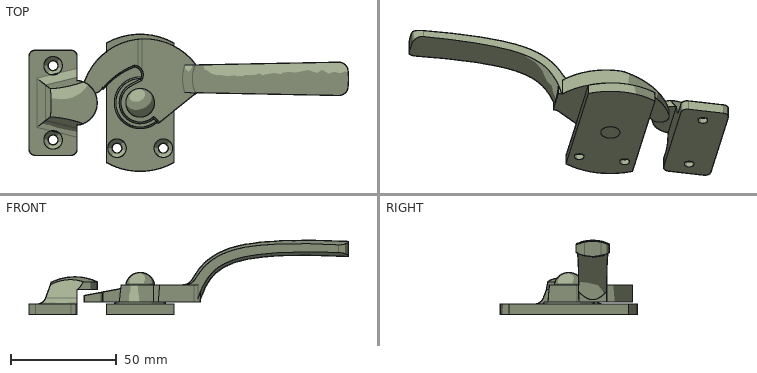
import cadquery as cq
import math


plate_thickness = 5.0
screw_hole_diameter = 4.5
countersink_diameter = 8.8
countersink_angle = 90

base_radius = 32.5
base_width = 32.0
base_hole_spacing = 21.9
base_hole_y = -21.5

washer_radius = 12.2
washer_top_radius = 11.5
washer_thickness = 0.9

pin_radius = 4.5
pin_head_radius = 6.8
pin_rim_height = 0.5
pin_dome_height = 5.5

cam_bottom = plate_thickness + washer_thickness
cam_height = 8.2
cam_top = cam_bottom + cam_height
cam_radius = 30.2
cam_center_x = 2.1
hook_tip_radius = 4.5
hook_tip_angle = 159.5
hook_slope = math.degrees(math.atan(0.19))
hook_crest_radius = 10.0
cam_corner = (9.2, -9.2)
lower_edge_slope = 0.8
neck_fillet_radius = 4.5
neck_overlap = 1.7

hub_radius = 9.0
pocket_draft = 6
hub_guard_width = 22.0
flank_angle = 27.3
flank_length = 5.5
pocket_round_middle = (1.2, 14.8)
pocket_round_end = (-2.7, 17.8)
hook_inside_middle = (-10.9, 13.6)
hook_inside_end = (-19.3, 5.3)

handle_y = 11.3
handle_root_width = 13.0
handle_root_x = 19.6
handle_end_width = 16.0
handle_end_x = 98.5
handle_end_bulge = 0.8
handle_corner_radius = 4.5
bar_margin = 1.5
handle_thickness = 7.2
handle_face_radius = 18.1
handle_path = [
    (24.5, 6.2),
    (28.0, 15.3),
    (33.4, 22.3),
    (43.3, 28.0),
    (57.1, 30.7),
    (78.4, 31.5),
    (99.7, 31.0),
]
handle_root_fillet = 5.3

keeper_left = -52.5
keeper_width = 22.8
keeper_length = 49.8
keeper_corner_radius = 3.0
keeper_hole_spacing = 35.0
keeper_right = keeper_left + keeper_width
block_left = -45.8
block_left_half_length = 9.2
block_side_slope = 0.244
block_lean = 4.7
block_fillet_radius = 4.4
nose_center_x = -31.0
nose_radius = 10.7
nose_bottom = 11.8
nose_top = 17.9
nose_dome_radius = 24.9


def drill_screw_holes(plate, positions):
    return (
        plate.copyWorkplane(cq.Workplane("XY", origin=(0, 0, plate_thickness)))
        .pushPoints(positions)
        .cskHole(screw_hole_diameter, countersink_diameter, countersink_angle)
    )


def make_base_plate():
    disc = cq.Workplane("XY").circle(base_radius).extrude(plate_thickness)
    strip = cq.Workplane("XY").rect(base_width, 2 * base_radius).extrude(plate_thickness)
    holes = [(side * base_hole_spacing / 2, base_hole_y) for side in (-1, 1)]
    plate = drill_screw_holes(disc.intersect(strip), holes)
    return plate.cut(cq.Workplane("XY").circle(pin_radius).extrude(plate_thickness))


def make_washer():
    profile = [
        (pin_radius, 0),
        (washer_radius, 0),
        (washer_top_radius, washer_thickness),
        (pin_radius, washer_thickness),
    ]
    return (
        cq.Workplane("XZ").polyline(profile).close()
        .revolve(360, (0, 0, 0), (0, 1, 0))
        .translate((0, 0, plate_thickness))
    )


def make_pin():
    rim_z = cam_top + pin_rim_height
    top_z = rim_z + pin_dome_height
    dome_radius = (pin_head_radius**2 + pin_dome_height**2) / (2 * pin_dome_height)
    half_angle = math.asin(pin_head_radius / dome_radius) / 2
    middle = (dome_radius * math.sin(half_angle), top_z - dome_radius * (1 - math.cos(half_angle)))
    return (
        cq.Workplane("XZ")
        .lineTo(pin_radius, 0)
        .lineTo(pin_radius, cam_top)
        .lineTo(pin_head_radius, cam_top)
        .lineTo(pin_head_radius, rim_z)
        .threePointArc(middle, (0, top_z))
        .close()
        .revolve(360, (0, 0, 0), (0, 1, 0))
    )


def on_circle(center, radius, angle):
    turn = math.radians(angle)
    return (center[0] + radius * math.cos(turn), center[1] + radius * math.sin(turn))


def make_cam_blank():
    """The full-height plan of hook, hub and handle neck, before the pocket and slope are cut."""
    center = (cam_center_x, 0)
    tip_center = on_circle(center, cam_radius - hook_tip_radius, hook_tip_angle)
    neck_y = handle_y + handle_root_width / 2
    neck_angle = math.degrees(math.asin(neck_y / cam_radius))
    neck_top = on_circle(center, cam_radius, neck_angle)
    neck_side_y = handle_y - handle_root_width / 2
    neck_corner = (cam_corner[0] + (neck_side_y - cam_corner[1]) / lower_edge_slope, neck_side_y)
    neck_end_x = neck_corner[0] + neck_overlap
    lower_y = -2 * hub_radius
    lower_end = (cam_corner[0] + (lower_y - cam_corner[1]) / lower_edge_slope, lower_y)
    blank = (
        cq.Workplane("XY", origin=(0, 0, cam_bottom))
        .moveTo(*on_circle(center, cam_radius, hook_tip_angle))
        .threePointArc(on_circle(center, cam_radius, 90), neck_top)
        .lineTo(neck_end_x, neck_y)
        .lineTo(neck_end_x, neck_side_y)
        .lineTo(*neck_corner)
        .lineTo(*lower_end)
        .lineTo(-1.5 * hub_radius, lower_y)
        .lineTo(*on_circle(tip_center, hook_tip_radius, hook_tip_angle - 180))
        .threePointArc(
            on_circle(tip_center, hook_tip_radius, hook_tip_angle + 90),
            on_circle(center, cam_radius, hook_tip_angle),
        )
        .close()
        .extrude(cam_height)
    )
    neck_edge = cq.selectors.NearestToPointSelector((*neck_corner, cam_bottom + cam_height / 2))
    return blank.edges("|Z").edges(neck_edge).fillet(neck_fillet_radius)


def make_hub_pocket():
    """The drafted cut around the hub and along the inside of the hook."""
    origin = (0, 0)
    flank_start = on_circle(origin, hub_radius, flank_angle + 90)
    flank_end = on_circle(flank_start, flank_length, flank_angle)
    reach = 4 * hub_radius
    return (
        cq.Workplane("XY", origin=(0, 0, cam_top))
        .moveTo(*on_circle(origin, hub_radius, -45))
        .threePointArc(on_circle(origin, hub_radius, -145), flank_start)
        .lineTo(*flank_end)
        .threePointArc(pocket_round_middle, pocket_round_end)
        .threePointArc(hook_inside_middle, hook_inside_end)
        .lineTo(hook_inside_end[0], -reach)
        .lineTo(reach, -reach)
        .close()
        .extrude(-cam_height, taper=pocket_draft)
    )


def make_hook_slope():
    """The cut that makes the hook thinner towards its tip, with a rounded crest; the hub is spared."""
    slope = math.radians(hook_slope)
    setback = hook_crest_radius * math.tan(slope / 2)
    crest_drop = hook_crest_radius * (1 - math.cos(slope / 2))
    reach = 1.5 * cam_radius
    slope_cutter = (
        cq.Workplane("XZ", origin=(0, cam_radius + 1.5, cam_top))
        .moveTo(setback, 0)
        .threePointArc(
            (setback - hook_crest_radius * math.sin(slope / 2), -crest_drop),
            (-setback * math.cos(slope), -setback * math.sin(slope)),
        )
        .lineTo(-reach, -reach * math.tan(slope))
        .lineTo(-reach, cam_height)
        .lineTo(setback, cam_height)
        .close()
        .extrude(cam_radius + 1.5)
    )
    hub_guard = (
        cq.Workplane("XY", origin=(0, 0, cam_bottom))
        .rect(hub_guard_width, hub_guard_width).extrude(2 * cam_height)
    )
    return slope_cutter.cut(hub_guard)


def make_handle():
    """A bar with crowned faces, swept along the path and trimmed to its widening plan."""
    path = cq.Workplane("XZ", origin=(0, handle_y, 0)).spline(handle_path)
    start = path.val().positionAt(0)
    tangent = path.val().tangentAt(0)
    half_width = handle_end_width / 2 + bar_margin
    crown = handle_thickness / 2
    edge = crown - handle_face_radius + math.sqrt(handle_face_radius**2 - half_width**2)
    bar = (
        cq.Workplane(cq.Plane(origin=start, xDir=(0, 1, 0), normal=tangent))
        .moveTo(-half_width, -edge)
        .threePointArc((0, -crown), (half_width, -edge))
        .lineTo(half_width, edge)
        .threePointArc((0, crown), (-half_width, edge))
        .close()
        .sweep(path)
    )
    corner_x = handle_end_x - handle_end_bulge
    outline = (
        cq.Workplane("XY", origin=(0, handle_y, cam_bottom))
        .moveTo(handle_root_x, handle_root_width / 2)
        .lineTo(corner_x, handle_end_width / 2)
        .threePointArc((handle_end_x, 0), (corner_x, -handle_end_width / 2))
        .lineTo(handle_root_x, -handle_root_width / 2)
        .close()
        .extrude(2 * cam_radius)
        .edges("|Z").edges(cq.selectors.BoxSelector(
            (corner_x - 0.2, -handle_end_width, 0),
            (corner_x + 0.2, 2 * handle_end_width, 3 * cam_radius),
        )).fillet(handle_corner_radius)
    )
    return bar.intersect(outline)


def make_lever():
    cam = make_cam_blank().cut(make_hub_pocket()).cut(make_hook_slope())
    lever = cam.union(make_handle())
    root = cq.selectors.BoxSelector(
        (handle_root_x, handle_y - 0.4 * handle_root_width, cam_top - 0.02),
        (handle_root_x + handle_thickness, handle_y + 0.4 * handle_root_width, cam_top + 0.02),
    )
    lever = lever.edges(root).fillet(handle_root_fillet)
    return lever.cut(cq.Workplane("XY").circle(pin_radius).extrude(cam_top))


def block_section(height, left, left_half_length):
    right = nose_center_x + nose_radius
    right_half_length = left_half_length + block_side_slope * (right - left)
    return (
        cq.Workplane("XY", origin=(0, 0, height))
        .moveTo(left, left_half_length)
        .lineTo(right, right_half_length)
        .lineTo(right, -right_half_length)
        .lineTo(left, -left_half_length)
        .close()
        .wires().val()
    )


def make_keeper_block():
    """A leaning block whose front end is the round nose that overhangs the plate's edge."""
    side_lean = block_lean * math.hypot(1, block_side_slope)
    top_left = block_left + block_lean
    top_half_length = block_left_half_length + block_side_slope * block_lean - side_lean
    wedge = cq.Workplane(cq.Solid.makeLoft([
        block_section(plate_thickness, block_left, block_left_half_length),
        block_section(nose_top, top_left, top_half_length),
    ], True))
    over_plate = (
        cq.Workplane("XY")
        .box(keeper_width, keeper_length, nose_top, centered=(False, True, False))
        .translate((keeper_left, 0, 0))
    )
    nose = (
        cq.Workplane("XY", origin=(nose_center_x, 0, nose_bottom))
        .circle(nose_radius).extrude(nose_top - nose_bottom)
    )
    dome = (
        cq.Workplane("XY").sphere(nose_dome_radius)
        .translate((nose_center_x, 0, nose_top - nose_dome_radius))
    )
    return wedge.intersect(over_plate.union(nose)).intersect(dome)


def make_keeper():
    plate = (
        cq.Workplane("XY")
        .box(keeper_width, keeper_length, plate_thickness, centered=(False, True, False))
        .translate((keeper_left, 0, 0))
        .edges("|Z").fillet(keeper_corner_radius)
    )
    keeper = plate.union(make_keeper_block())
    foot = cq.selectors.BoxSelector(
        (block_left - 1.5, -keeper_length / 2 + 1.5, plate_thickness - 0.02),
        (keeper_right - 0.2, keeper_length / 2 - 1.5, plate_thickness + 0.02),
    )
    keeper = keeper.edges(foot).fillet(block_fillet_radius)
    hole_x = keeper_left + keeper_width / 2
    holes = [(hole_x, side * keeper_hole_spacing / 2) for side in (-1, 1)]
    return drill_screw_holes(keeper, holes)


keeper = make_keeper()
base_plate = make_base_plate()
washer = make_washer()
lever = make_lever()
pin = make_pin()

result = cq.Compound.makeCompound(
    [keeper.val(), base_plate.val(), washer.val(), lever.val(), pin.val()]
)